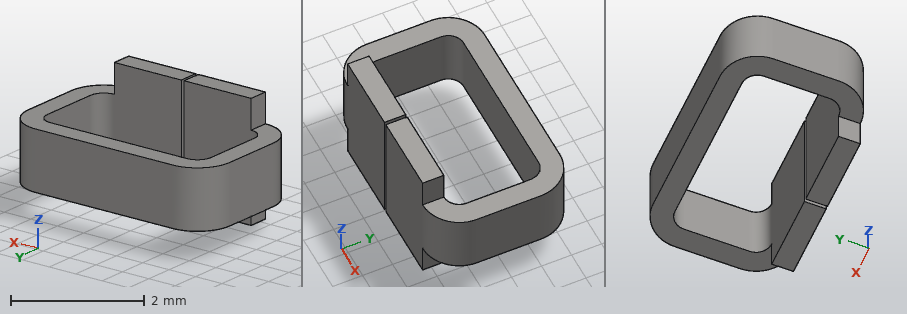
import cadquery as cq

LENGTH = 3.81
DEPTH = 2.286
STRIP_WIDTH = 1.016
THICKNESS = 0.3556
INNER_RADIUS = 0.254
OUTER_RADIUS = INNER_RADIUS + THICKNESS

PAD_HEIGHT = 2.032
PAD_GAP = 0.0508
PAD_SPAN = LENGTH - 2 * OUTER_RADIUS

FRONT_WALL_Y = -(DEPTH - THICKNESS) / 2


def rounded_block(length, depth, radius):
    """Upright block of strip width with rounded vertical edges, centred on the origin."""
    return cq.Workplane("XY").box(length, depth, STRIP_WIDTH).edges("|Z").fillet(radius)


def strip_loop():
    """Closed rounded-rectangle loop of constant wall thickness."""
    outside = rounded_block(LENGTH, DEPTH, OUTER_RADIUS)
    opening = rounded_block(LENGTH - 2 * THICKNESS, DEPTH - 2 * THICKNESS, INNER_RADIUS)
    return outside.cut(opening)


def front_wall_block(length):
    """Pad-height block as thick as the front wall, centred on it."""
    return cq.Workplane("XY").box(length, THICKNESS, PAD_HEIGHT).translate((0, FRONT_WALL_Y, 0))


result = strip_loop().union(front_wall_block(PAD_SPAN)).cut(front_wall_block(PAD_GAP))